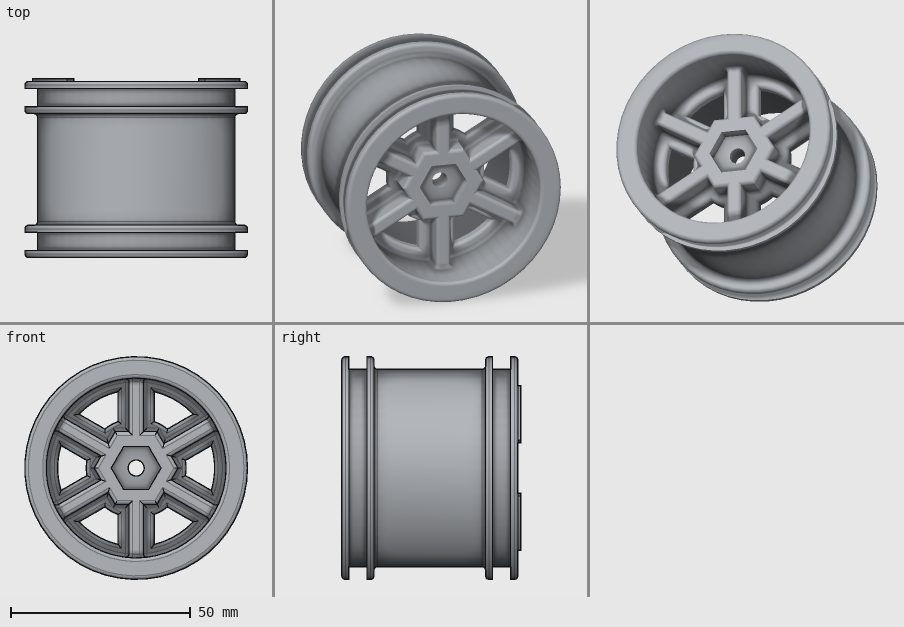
import cadquery as cq
import math

rim_length = 49.0
flange_radius = 31.0
flange_width = 2.0
bead_groove_width = 5.0
barrel_radius = 27.5
bore_radius = 25.0
edge_round = 1.0
inner_flange_end = 2 * flange_width + bead_groove_width

spoke_count = 6
spoke_pitch = 360.0 / spoke_count
spoke_width = 4.0
hub_apothem = 10.1
hub_front_y = 11.0
web_front_y = 18.2
web_thickness = 3.0
root_fillet = 1.0
embed_radius = (bore_radius + barrel_radius) / 2

window_inner_radius = 13.9
window_outer_radius = 21.8
window_spoke_offset = 5.05

socket_apothem = 6.0
socket_depth = 4.0
axle_hole_diameter = 4.4

band_height = 0.8
band_embed = 0.5
band_inner_radius = 27.0
band_outer_radius = 29.9
band_start_angle = 15.0
band_end_angle = 50.0

tolerance = 0.01


def plane_at(y):
    """Workplane at depth y whose extrusions run towards the back (+Y)."""
    return cq.Workplane("XZ", origin=(0, y, 0)).transformed(rotate=(180, 0, 0))


def turned(body, degrees):
    """Body rotated about the wheel axis."""
    return body.rotate((0, 0, 0), (0, 1, 0), degrees)


def polar(radius, degrees):
    angle = math.radians(degrees)
    return (radius * math.cos(angle), radius * math.sin(angle))


def disc(y, radius, depth):
    return plane_at(y).circle(radius).extrude(depth)


def hexagon(y, apothem, depth):
    """Hexagonal prism with flats facing +Z and -Z."""
    corner_diameter = 2 * apothem / math.cos(math.pi / 6)
    return plane_at(y).polygon(6, corner_diameter).extrude(depth)


def ring_sector(y, depth, inner, outer):
    """Prism between two arcs; inner and outer are (radius, start angle, end angle)."""
    inner_radius, inner_start, inner_end = inner
    outer_radius, outer_start, outer_end = outer
    return (
        plane_at(y)
        .moveTo(*polar(inner_radius, inner_start))
        .lineTo(*polar(outer_radius, outer_start))
        .threePointArc(polar(outer_radius, (outer_start + outer_end) / 2), polar(outer_radius, outer_end))
        .lineTo(*polar(inner_radius, inner_end))
        .threePointArc(polar(inner_radius, (inner_start + inner_end) / 2), polar(inner_radius, inner_start))
        .close()
        .extrude(depth)
    )


def make_rim():
    """Barrel with two bead flanges at each end, revolved as a half and mirrored."""
    r = edge_round
    sag = r * (1 - math.sqrt(0.5))
    groove_end = flange_width + bead_groove_width
    half = (
        cq.Workplane("XY")
        .moveTo(bore_radius + r, 0)
        .lineTo(flange_radius - r, 0)
        .threePointArc((flange_radius - sag, sag), (flange_radius, r))
        .lineTo(flange_radius, flange_width)
        .lineTo(barrel_radius, flange_width)
        .lineTo(barrel_radius, groove_end)
        .lineTo(flange_radius, groove_end)
        .lineTo(flange_radius, inner_flange_end - r)
        .threePointArc((flange_radius - sag, inner_flange_end - sag), (flange_radius - r, inner_flange_end))
        .lineTo(barrel_radius + r, inner_flange_end)
        .threePointArc((barrel_radius + sag, inner_flange_end + sag), (barrel_radius, inner_flange_end + r))
        .lineTo(barrel_radius, rim_length / 2)
        .lineTo(bore_radius, rim_length / 2)
        .lineTo(bore_radius, r)
        .threePointArc((bore_radius + sag, sag), (bore_radius + r, 0))
        .close()
        .revolve(360, (0, 0, 0), (0, 1, 0))
    )
    return half.union(half.mirror("XZ", (0, rim_length / 2, 0)))


def make_spider():
    """Hexagonal hub and spokes with rounded front edges, reaching into the web."""
    depth = web_front_y - hub_front_y + web_thickness / 2
    spider = hexagon(hub_front_y, hub_apothem, depth)
    bar_length = 2 * flange_radius
    for i in range(spoke_count // 2):
        bar = plane_at(hub_front_y).rect(spoke_width, bar_length).extrude(depth)
        spider = spider.union(turned(bar, i * spoke_pitch))
    spider = spider.faces("<Y").edges().fillet(edge_round)
    return spider.intersect(disc(hub_front_y, embed_radius, depth))


def is_on_web(edge):
    """True for edges lying in the front plane of the web."""
    box = edge.BoundingBox()
    return abs(box.ymin - web_front_y) < tolerance and abs(box.ymax - web_front_y) < tolerance


def is_spoke_end(edge):
    """True for edges where a spoke meets the bore."""
    box = edge.BoundingBox()
    in_depth = box.ymin > hub_front_y - tolerance and box.ymax < web_front_y + tolerance
    ends = (edge.startPoint(), edge.endPoint())
    return in_depth and all(math.hypot(p.x, p.z) > bore_radius - tolerance for p in ends)


def fillet_roots(body):
    """Fillets where hub, spokes, web and bore meet."""
    roots = [edge for edge in body.edges().vals() if is_on_web(edge) or is_spoke_end(edge)]
    return body.newObject(roots).fillet(root_fillet)


def window_half_angle(radius):
    return spoke_pitch / 2 - math.degrees(math.asin(window_spoke_offset / radius))


def cut_windows(body):
    """Windows through the web with rounded front edges."""
    inner_half = window_half_angle(window_inner_radius)
    outer_half = window_half_angle(window_outer_radius)
    window = ring_sector(
        web_front_y,
        web_thickness,
        (window_inner_radius, -inner_half, inner_half),
        (window_outer_radius, -outer_half, outer_half),
    )
    windows = [turned(window, i * spoke_pitch) for i in range(spoke_count)]
    for cutter in windows:
        body = body.cut(cutter)
    cutters = cq.Compound.makeCompound([cutter.val() for cutter in windows])
    rims = [edge for edge in body.edges().vals() if is_on_web(edge) and edge.distance(cutters) < tolerance]
    return body.newObject(rims).fillet(edge_round)


def cut_hub(body):
    """Hexagonal drive socket and axle hole."""
    body = body.cut(hexagon(hub_front_y, socket_apothem, socket_depth))
    return body.cut(disc(hub_front_y, axle_hole_diameter / 2, rim_length))


def add_bands(body):
    """Four raised bands on the back face, symmetric about the X and Z axes."""
    band = ring_sector(
        rim_length - band_embed,
        band_embed + band_height,
        (band_inner_radius, band_start_angle, band_end_angle),
        (band_outer_radius, band_start_angle, band_end_angle),
    )
    for half_turn in (0, 180):
        placed = turned(band, half_turn)
        body = body.union(placed).union(placed.mirror("YZ"))
    return body


web = disc(web_front_y, embed_radius, web_thickness)
wheel = make_rim().union(web).union(make_spider())
wheel = fillet_roots(wheel)
wheel = cut_windows(wheel)
wheel = cut_hub(wheel)
result = add_bands(wheel)